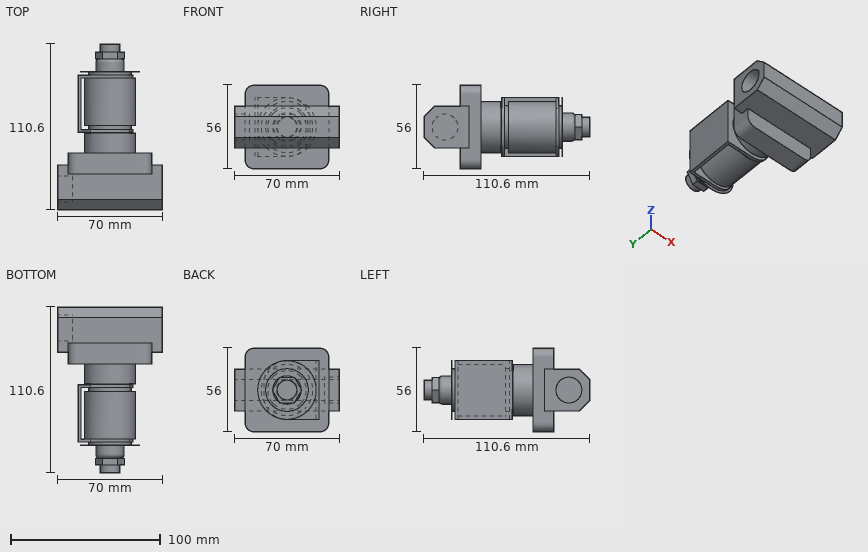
import cadquery as cq
import math


block_length = 70.0
block_depth = 30.1
block_height = 28.1
block_chamfer = 7.0
port_diameter = 17.3
port_center_y = 13.9
port_depth = 10.0
flange_side = 56.0
flange_radius = 6.0
flange_front_y = 24.0
flange_thickness = 14.0

barrel_diameter = 34.4
neck_diameter = 25.8
collar_diameter = 28.5
washer_diameter = 39.2
shoulder_diameter = 19.0
stem_diameter = 13.2
flange_back_y = flange_front_y + flange_thickness
lower_barrel_end_y = 51.2
coil_start_y = 56.2
washer_start_y = 92.1
washer_thickness = 0.2
shoulder_end_y = 100.9
shoulder_fillet = 2.5
stem_end_y = 110.6

nut_across_flats = 17.0
nut_thickness = 4.4
nut_across_corners = nut_across_flats / math.cos(math.pi / 6)

bracket_front_y = 51.7
bracket_length = 38.4
bracket_thickness = 2.0
bracket_left_x = -21.2
bracket_right_x = 15.5
bracket_height = 39.6
bracket_corner_radius = bracket_right_x
bracket_back_y = bracket_front_y + bracket_length
leg_inner_front_y = bracket_front_y + bracket_thickness
leg_inner_back_y = bracket_back_y - bracket_thickness


def plane_at(y):
    """Plane across the main axis whose normal points along +Y."""
    return cq.Workplane(cq.Plane(origin=(0, y, 0), xDir=(1, 0, 0), normal=(0, 1, 0)))


def cylinder(diameter, start_y, end_y):
    return plane_at(start_y).circle(diameter / 2).extrude(end_y - start_y)


def make_base():
    block = (
        cq.Workplane("XY")
        .box(block_length, block_depth, block_height)
        .translate((0, block_depth / 2, 0))
        .edges("|X and <Y")
        .chamfer(block_chamfer)
    )
    flange = (
        plane_at(flange_front_y)
        .rect(flange_side, flange_side)
        .extrude(flange_thickness)
        .edges("|Y")
        .fillet(flange_radius)
    )
    port = (
        cq.Workplane("YZ", origin=(-block_length / 2, 0, 0))
        .center(port_center_y, 0)
        .circle(port_diameter / 2)
        .extrude(port_depth)
    )
    return block.union(flange).cut(port)


def make_turned_stages():
    washer_end_y = washer_start_y + washer_thickness
    shoulder = cylinder(shoulder_diameter, washer_end_y, shoulder_end_y)
    shoulder = shoulder.faces(">Y").edges().fillet(shoulder_fillet)
    return (
        cylinder(barrel_diameter, flange_back_y, lower_barrel_end_y)
        .union(cylinder(neck_diameter, lower_barrel_end_y, bracket_back_y))
        .union(cylinder(collar_diameter, leg_inner_front_y, coil_start_y))
        .union(cylinder(barrel_diameter, coil_start_y, leg_inner_back_y))
        .union(cylinder(collar_diameter, bracket_back_y, washer_start_y))
        .union(cylinder(washer_diameter, washer_start_y, washer_end_y))
        .union(shoulder)
        .union(cylinder(stem_diameter, shoulder_end_y, stem_end_y))
    )


def make_nut():
    return plane_at(shoulder_end_y).polygon(6, nut_across_corners).extrude(nut_thickness)


def make_valve():
    return make_base().union(make_turned_stages()).union(make_nut())


def make_bracket():
    outline = (
        plane_at(bracket_front_y)
        .center((bracket_left_x + bracket_right_x) / 2, 0)
        .rect(bracket_right_x - bracket_left_x, bracket_height)
        .extrude(bracket_length)
        .edges("|Y and >X")
        .fillet(bracket_corner_radius)
    )
    opening_left_x = bracket_left_x + bracket_thickness
    opening = (
        plane_at(leg_inner_front_y)
        .center((opening_left_x + bracket_right_x) / 2, 0)
        .rect(bracket_right_x - opening_left_x, bracket_height)
        .extrude(leg_inner_back_y - leg_inner_front_y)
    )
    neck_hole = cylinder(neck_diameter, bracket_front_y, bracket_back_y)
    return outline.cut(opening).cut(neck_hole)


valve = make_valve()
bracket = make_bracket()

result = cq.Compound.makeCompound([valve.solids().val(), bracket.solids().val()])